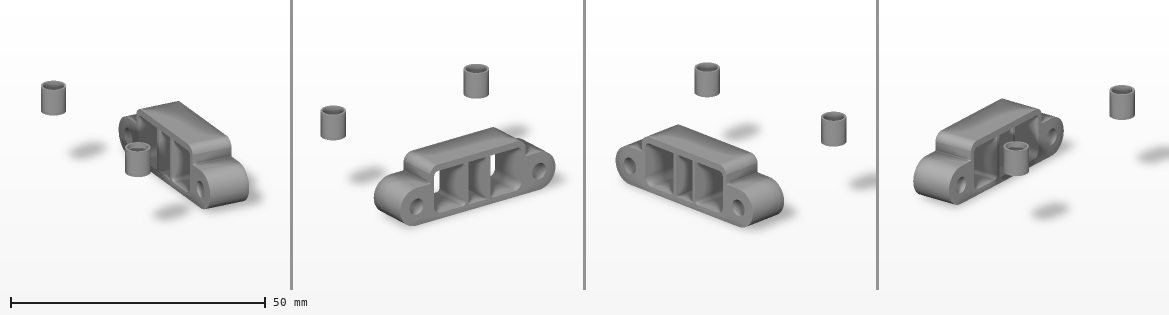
import cadquery as cq

overall_width = 40.0
overall_depth = 26.5
overall_height = 17.0

bracket_depth = 8.7
bracket_height = 11.7
ear_radius = 4.0
ear_spacing = 30.0
ear_hole_diameter = 3.4
hump_width = 23.35
hump_corner_radius = 2.0
hump_side_trim = 0.05
hump_root_radius = 0.2

window_bottom = 1.25
window_top = 10.3
window_outer_x = 10.7
center_window_half_width = 2.3
left_rib_thickness = 0.75
right_rib_thickness = 0.65
window_top_radius = 1.0
window_outer_bottom_radius = 1.6
window_inner_bottom_radius = 0.8

sleeve_outer_diameter = 5.0
sleeve_inner_diameter = 4.2
sleeve_height = overall_height - bracket_height
sleeve_x = (overall_width - sleeve_outer_diameter) / 2
sleeve_y = -overall_depth + sleeve_outer_diameter / 2


def block(x_min, x_max, z_min, z_max):
    """Rectangular block running the full depth of the bracket, front to back."""
    return cq.Workplane("XY").box(
        x_max - x_min, bracket_depth, z_max - z_min, centered=False
    ).translate((x_min, -bracket_depth, z_min))


def bracket_blank():
    """Long rounded base with a raised central hump."""
    base = (
        cq.Workplane("XZ")
        .center(0, ear_radius)
        .slot2D(ear_spacing + 2 * ear_radius, 2 * ear_radius)
        .extrude(bracket_depth)
    )
    half_width = hump_width / 2
    untrimmed_half_width = half_width + hump_side_trim
    rounded = block(-untrimmed_half_width, untrimmed_half_width, ear_radius, bracket_height)
    rounded = rounded.edges("|Y and >Z").fillet(hump_corner_radius)
    hump = rounded.intersect(block(-half_width, half_width, ear_radius, bracket_height))
    blank = base.union(hump)
    step_z = 2 * ear_radius
    for side in (-1, 1):
        root_x = side * half_width
        root_edge = cq.selectors.BoxSelector(
            (root_x - hump_root_radius, -bracket_depth, step_z - hump_root_radius),
            (root_x + hump_root_radius, 0, step_z + hump_root_radius),
        )
        blank = blank.edges(root_edge).fillet(hump_root_radius)
    return blank


def side_window(side, rib_thickness):
    """Cutter for a side window; its upper corner next to the rib stays square."""
    inner_x = side * (center_window_half_width + rib_thickness)
    outer_x = side * window_outer_x
    cutter = block(min(inner_x, outer_x), max(inner_x, outer_x), window_bottom, window_top)
    outward = ">X" if side > 0 else "<X"
    inward = "<X" if side > 0 else ">X"
    cutter = cutter.edges(f"|Y and {outward} and >Z").fillet(window_top_radius)
    cutter = cutter.edges(f"|Y and {outward} and <Z").fillet(window_outer_bottom_radius)
    return cutter.edges(f"|Y and {inward} and <Z").fillet(window_inner_bottom_radius)


def make_bracket():
    """Bracket with two ear holes and three windows separated by thin ribs."""
    ear_holes = (
        cq.Workplane("XZ")
        .pushPoints([(-ear_spacing / 2, ear_radius), (ear_spacing / 2, ear_radius)])
        .circle(ear_hole_diameter / 2)
        .extrude(bracket_depth)
    )
    center_window = block(
        -center_window_half_width, center_window_half_width, window_bottom, window_top
    )
    return (
        bracket_blank()
        .cut(ear_holes)
        .cut(center_window)
        .cut(side_window(-1, left_rib_thickness))
        .cut(side_window(1, right_rib_thickness))
    )


def make_sleeve(x):
    """Thin-walled upright tube, open at both ends."""
    return (
        cq.Workplane("XY", origin=(x, sleeve_y, bracket_height))
        .circle(sleeve_outer_diameter / 2)
        .circle(sleeve_inner_diameter / 2)
        .extrude(sleeve_height)
    )


bracket = make_bracket()
sleeves = [make_sleeve(side * sleeve_x) for side in (-1, 1)]

result = cq.Compound.makeCompound([bracket.val(), *[sleeve.val() for sleeve in sleeves]])